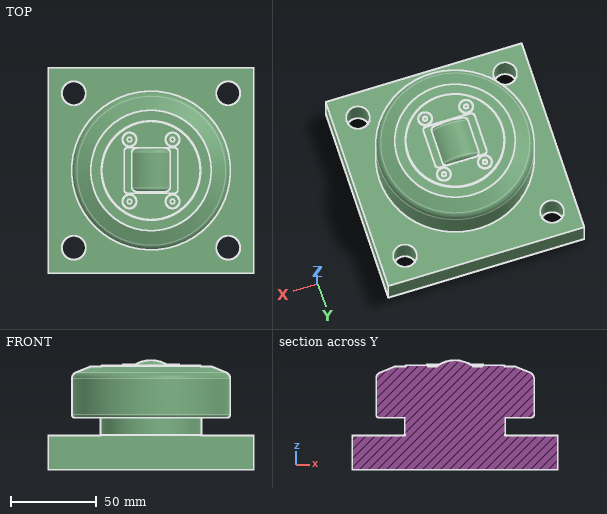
import cadquery as cq

plate_side = 120.0
plate_thickness = 20.0
mount_hole_diameter = 13.8
mount_hole_spacing = 90.0

stem_diameter = 59.0
stem_foot_chamfer = 0.5
roller_diameter = 92.5
roller_bottom = 30.2
roller_lower_fillet = 2.0
roller_shoulder_bottom = 53.4
roller_shoulder_top = 57.0
shoulder_top_diameter = 86.9
roller_top = 60.4
roller_top_diameter = 70.2
shoulder_bulge = 1.0

disc_diameter = 58.0
disc_top = 61.1
disc_chamfer = 0.4

window_length = 31.5
window_width = 26.6
window_corner_radius = 2.2
window_depth = 1.0
side_roller_radius = 18.0
side_roller_offset_y = 0.4
side_roller_width = 25.7
side_roller_fillet = 2.3
overall_height = 64.0

screw_head_diameter = 7.8
screw_seat_diameter = 8.3
screw_seat_depth = 0.4
screw_socket_corner_width = 2.9
screw_socket_depth = 1.2
screw_head_height = 0.4
screw_spacing_x = 25.1
screw_spacing_y = 36.1


def make_plate():
    plate = cq.Workplane("XY").box(plate_side, plate_side, plate_thickness, centered=(True, True, False))
    return (
        plate.faces(">Z").workplane()
        .rect(mount_hole_spacing, mount_hole_spacing, forConstruction=True)
        .vertices().hole(mount_hole_diameter)
    )


def make_turned_body():
    """Stem, roller with rounded shoulder and conical top, and raised cover disc."""
    roller_radius = roller_diameter / 2
    shoulder_top_radius = shoulder_top_diameter / 2
    shoulder_middle = (
        (roller_radius + shoulder_top_radius) / 2 + shoulder_bulge / 2,
        (roller_shoulder_bottom + roller_shoulder_top) / 2 + shoulder_bulge / 2,
    )
    roller = (
        cq.Workplane("XZ")
        .moveTo(0, roller_bottom)
        .lineTo(roller_radius, roller_bottom)
        .lineTo(roller_radius, roller_shoulder_bottom)
        .threePointArc(shoulder_middle, (shoulder_top_radius, roller_shoulder_top))
        .lineTo(roller_top_diameter / 2, roller_top)
        .lineTo(0, roller_top)
        .close()
        .revolve(360, (0, 0, 0), (0, 1, 0))
        .faces("<Z").edges().fillet(roller_lower_fillet)
    )
    stem = (
        cq.Workplane("XY").workplane(offset=plate_thickness)
        .circle(stem_diameter / 2).extrude(roller_top - plate_thickness)
        .faces("<Z").chamfer(stem_foot_chamfer)
    )
    disc = cq.Workplane("XY").circle(disc_diameter / 2).extrude(disc_top).faces(">Z").chamfer(disc_chamfer)
    return roller.union(stem).union(disc)


def make_window():
    return (
        cq.Workplane("XY").workplane(offset=disc_top - window_depth)
        .rect(window_length, window_width).extrude(window_depth)
        .edges("|Z").fillet(window_corner_radius)
    )


def make_side_roller():
    return (
        cq.Workplane("XZ", origin=(0, side_roller_offset_y, overall_height - side_roller_radius))
        .circle(side_roller_radius).extrude(side_roller_width / 2, both=True)
        .edges().fillet(side_roller_fillet)
    )


def at_screws(workplane):
    return workplane.rect(screw_spacing_x, screw_spacing_y, forConstruction=True).vertices()


def make_screw_seats():
    """Shallow recesses that leave a thin clearance ring around each screw head."""
    seats = at_screws(cq.Workplane("XY").workplane(offset=disc_top - screw_seat_depth))
    return seats.circle(screw_seat_diameter / 2).extrude(screw_seat_depth)


def make_screw_heads():
    heads = at_screws(cq.Workplane("XY").workplane(offset=roller_top))
    return heads.circle(screw_head_diameter / 2).extrude(disc_top + screw_head_height - roller_top)


def make_screw_sockets():
    socket_bottom = disc_top + screw_head_height - screw_socket_depth
    sockets = at_screws(cq.Workplane("XY").workplane(offset=socket_bottom))
    return sockets.polygon(6, screw_socket_corner_width).extrude(screw_socket_depth)


result = (
    make_plate()
    .union(make_turned_body())
    .cut(make_window())
    .cut(make_screw_seats())
    .union(make_side_roller())
    .union(make_screw_heads())
    .cut(make_screw_sockets())
)